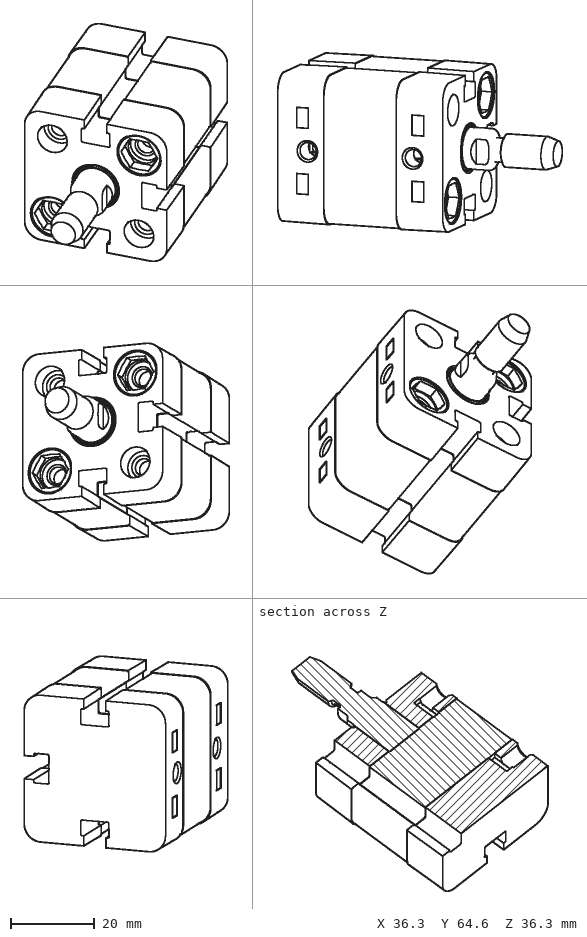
import cadquery as cq
import math


cap_length = 11.8
barrel_length = 18.5
rod_reach = 22.5
body_length = 2 * cap_length + barrel_length

cap_joint_width = 36.3
cap_face_width = 36.05
cap_joint_corner = 4.4
cap_draft = (cap_joint_width - cap_face_width) / 2

barrel_width = 36.0
barrel_corner = 4.45

slot_mouth_width = 5.7
slot_lip = 15.6
slot_corner = 0.45
cap_slot_width = 7.25
cap_slot_floor = 11.7
barrel_slot_width = 6.85
barrel_slot_floor = 11.9
barrel_lip_round = 0.4
slot_angles = (0, 90, 180)

screw_offset = 11.0
thread_diameter = 4.15
head_diameter = 11.1
head_recess = 0.25
head_chamfer = 0.3
hex_side_turn = 30
socket_across_flats = 8.0
socket_relief = 8.2
socket_depth = 3.0
socket_bore = 7.5
socket_bore_depth = 4.4
screw_thread_mouth = 5.1
clearance_diameter = 7.5
clearance_depth = 4.5
clearance_thread_mouth = 5.4
thread_depth = 3.2

port_setback = 7.6
port_diameter = 4.15
port_mouth = 5.3
port_floor = 11.95
channel_width = 2.85
channel_floor_diameter = 20.0
front_channel_overrun = 2.1
rear_channel_overrun = 1.7

label_setback = 6.3
label_height = 8.0
label_length = 3.0
label_width = 4.9
label_depth = 0.2
label_face = cap_face_width / 2 + cap_draft * label_setback / cap_length

guide_mouth = 12.0
guide_diameter = 11.4
guide_depth = 0.45
wiper_root = 10.9
wiper_tip = 10.45

rod_diameter = 10.0
shoulder_end = 6.4
shoulder_round = 1.05
flat_start = 2.2
flats_across = 8.0
neck_diameter = 5.8
neck_fillet = 0.4
stud_diameter = 8.0
stud_start = 9.5
stud_bevel = 0.4
tip_start = 19.7
tip_diameter = 6.15

slack = 0.65


def y_cylinder(x, z, diameter, y_start, y_end):
    """Cylinder along Y between two stations."""
    axis = cq.Vector(0, 1, 0)
    base = cq.Vector(x, y_start, z)
    return cq.Workplane(cq.Solid.makeCylinder(diameter / 2, y_end - y_start, base, axis))


def y_cone(x, z, start_diameter, end_diameter, y_start, y_end):
    """Cone along Y whose diameter changes between two stations."""
    axis = cq.Vector(0, 1, 0)
    base = cq.Vector(x, y_start, z)
    return cq.Workplane(cq.Solid.makeCone(start_diameter / 2, end_diameter / 2, y_end - y_start, base, axis))


def rounded_square(y, width, corner):
    """Rounded square profile across the rod axis at one station."""
    square = cq.Sketch().rect(width, width).vertices().fillet(corner)
    return cq.Workplane("XZ", origin=(0, y, 0)).placeSketch(square)


def slot_cutter(y_start, length, width, floor):
    """Undercut sensor slot along Y, opening toward +Z."""
    undercut = (
        cq.Workplane("XY")
        .box(width, length, slot_lip - floor, centered=(True, False, False))
        .edges("|Y")
        .fillet(slot_corner)
    )
    mouth_height = cap_joint_width / 2 + slack - floor
    mouth = cq.Workplane("XY").box(slot_mouth_width, length, mouth_height, centered=(True, False, False))
    return undercut.union(mouth).translate((0, y_start, floor))


def lip_round_cutter(y_start, length):
    """Flared strip that rounds both lips of a barrel slot."""
    half = slot_mouth_width / 2
    flare = half + barrel_lip_round
    face = barrel_width / 2
    return (
        cq.Workplane("XZ", origin=(0, y_start + length, 0))
        .moveTo(-half, face - barrel_lip_round)
        .radiusArc((-flare, face), -barrel_lip_round)
        .lineTo(-flare, face + slack)
        .lineTo(flare, face + slack)
        .lineTo(flare, face)
        .radiusArc((half, face - barrel_lip_round), -barrel_lip_round)
        .close()
        .extrude(length)
    )


def cut_on_slot_sides(body, cutter):
    """Cut the same profile into the +Z, +X and -Z sides; the -X side stays closed."""
    for angle in slot_angles:
        body = body.cut(cutter.rotate((0, 0, 0), (0, 1, 0), angle))
    return body


def port_cutter(channel_overrun):
    """Chamfered port with a flat floor and a channel leading to the joint face."""
    face = cap_joint_width / 2
    bore = (
        cq.Workplane("YZ", origin=(-port_floor, port_setback, 0))
        .circle(port_diameter / 2)
        .extrude(port_floor - face - slack)
    )
    mouth_depth = (port_mouth - port_diameter) / 2
    inward = cq.Vector(1, 0, 0)
    base = cq.Vector(-face, port_setback, 0)
    mouth = cq.Workplane(cq.Solid.makeCone(port_mouth / 2, port_diameter / 2, mouth_depth, base, inward))
    channel_start = port_setback - channel_overrun
    channel = (
        cq.Workplane("XY")
        .box(port_floor, cap_length - channel_start, channel_width, centered=(False, False, True))
        .translate((-port_floor, channel_start, 0))
        .cut(y_cylinder(0, 0, channel_floor_diameter, 0, cap_length))
    )
    return bore.union(mouth).union(channel)


def cap_blank(channel_overrun):
    """Drafted block with its outer face at Y = 0, slots, port and label recesses."""
    draft_angle = math.degrees(math.atan(cap_draft / cap_length))
    joint_profile = rounded_square(cap_length, cap_joint_width, cap_joint_corner)
    block = joint_profile.extrude(cap_length, taper=draft_angle)
    cap = cut_on_slot_sides(block, slot_cutter(0, cap_length, cap_slot_width, cap_slot_floor))
    cap = cap.cut(port_cutter(channel_overrun))
    for z in (label_height, -label_height):
        label = cq.Workplane("XY").box(2 * label_depth, label_length, label_width)
        cap = cap.cut(label.translate((-label_face, label_setback, z)))
    return cap


def screw_socket(x, z):
    """Recess over a bevelled screw head, with its relieved hexagon socket and thread bore."""
    bevel_end = head_recess + head_chamfer
    head_face_diameter = head_diameter - 2 * head_chamfer
    recess = y_cylinder(x, z, head_diameter, -slack, bevel_end)
    recess = recess.cut(y_cone(x, z, head_face_diameter, head_diameter, head_recess, bevel_end))
    hexagon = (
        cq.Workplane("XZ", origin=(x, 0, z))
        .polygon(6, socket_across_flats, circumscribed=True)
        .extrude(-socket_depth)
        .rotate((x, 0, z), (x, 1, z), hex_side_turn)
    )
    relief = y_cylinder(x, z, socket_relief, 0, socket_depth)
    bore = y_cylinder(x, z, socket_bore, 0, socket_bore_depth)
    thread = threaded_hole(x, z, screw_thread_mouth, socket_bore_depth)
    return recess.union(hexagon).union(relief).union(bore).union(thread)


def threaded_hole(x, z, mouth_diameter, floor):
    """Blind hole with a chamfered mouth, sunk from a floor at the given depth."""
    mouth_depth = (mouth_diameter - thread_diameter) / 2
    mouth = y_cone(x, z, mouth_diameter, thread_diameter, floor, floor + mouth_depth)
    return mouth.union(y_cylinder(x, z, thread_diameter, floor, floor + thread_depth))


def clearance_hole(x, z):
    """Wide hole at a corner without a screw head, with a threaded hole in its floor."""
    bore = y_cylinder(x, z, clearance_diameter, -slack, clearance_depth)
    return bore.union(threaded_hole(x, z, clearance_thread_mouth, clearance_depth))


def rod_guide():
    """Rod bore ringed by a chamfered groove that leaves a tapered wiper lip round the rod."""
    mouth_depth = (guide_mouth - guide_diameter) / 2
    groove = y_cone(0, 0, guide_mouth, guide_diameter, 0, mouth_depth)
    groove = groove.union(y_cylinder(0, 0, guide_diameter, 0, guide_depth))
    groove = groove.cut(y_cone(0, 0, wiper_tip, wiper_root, 0, guide_depth))
    return groove.union(y_cylinder(0, 0, rod_diameter, 0, cap_length))


def make_front_cap():
    """Cap guiding the rod, with screw heads at two opposite corners and clearance holes at the others."""
    cap = cap_blank(front_channel_overrun).cut(rod_guide())
    for offset in (screw_offset, -screw_offset):
        cap = cap.cut(screw_socket(offset, offset))
        cap = cap.cut(clearance_hole(-offset, offset))
    return cap


def make_rear_cap():
    """The blank cap mirrored so that its outer face closes the rear end."""
    return cap_blank(rear_channel_overrun).mirror("XZ").translate((0, body_length, 0))


def make_barrel():
    """Extruded profile between the caps, with rounded slot lips."""
    barrel = rounded_square(cap_length, barrel_width, barrel_corner).extrude(-barrel_length)
    slot = slot_cutter(cap_length, barrel_length, barrel_slot_width, barrel_slot_floor)
    barrel = cut_on_slot_sides(barrel, slot)
    return cut_on_slot_sides(barrel, lip_round_cutter(cap_length, barrel_length))


def make_rod():
    """Turned rod with a necked stud and two wrench flats."""
    rod_r = rod_diameter / 2
    neck_r = neck_diameter / 2
    stud_r = stud_diameter / 2
    neck_end = stud_start - stud_bevel
    rod = (
        cq.Workplane("XY")
        .moveTo(0, cap_length)
        .lineTo(rod_r, cap_length)
        .lineTo(rod_r, shoulder_round - shoulder_end)
        .radiusArc((rod_r - shoulder_round, -shoulder_end), shoulder_round)
        .lineTo(neck_r + neck_fillet, -shoulder_end)
        .radiusArc((neck_r, -shoulder_end - neck_fillet), -neck_fillet)
        .lineTo(neck_r, neck_fillet - neck_end)
        .radiusArc((neck_r + neck_fillet, -neck_end), -neck_fillet)
        .lineTo(stud_r, -stud_start)
        .lineTo(stud_r, -tip_start)
        .lineTo(tip_diameter / 2, -rod_reach)
        .lineTo(0, -rod_reach)
        .close()
        .revolve(360, (0, 0, 0), (0, 1, 0))
    )
    half_flat = flats_across / 2
    run_out = rod_r - half_flat
    for side in (1, -1):
        flat = (
            cq.Workplane("XY", origin=(0, 0, -rod_r))
            .moveTo(side * rod_r, -flat_start)
            .lineTo(side * half_flat, -flat_start - run_out)
            .lineTo(side * half_flat, -shoulder_end)
            .lineTo(side * rod_r, -shoulder_end)
            .close()
            .extrude(rod_diameter)
        )
        rod = rod.cut(flat)
    return rod


front_cap = make_front_cap()
barrel = make_barrel()
rear_cap = make_rear_cap()
piston_rod = make_rod()

result = cq.Compound.makeCompound([front_cap.val(), barrel.val(), rear_cap.val(), piston_rod.val()])